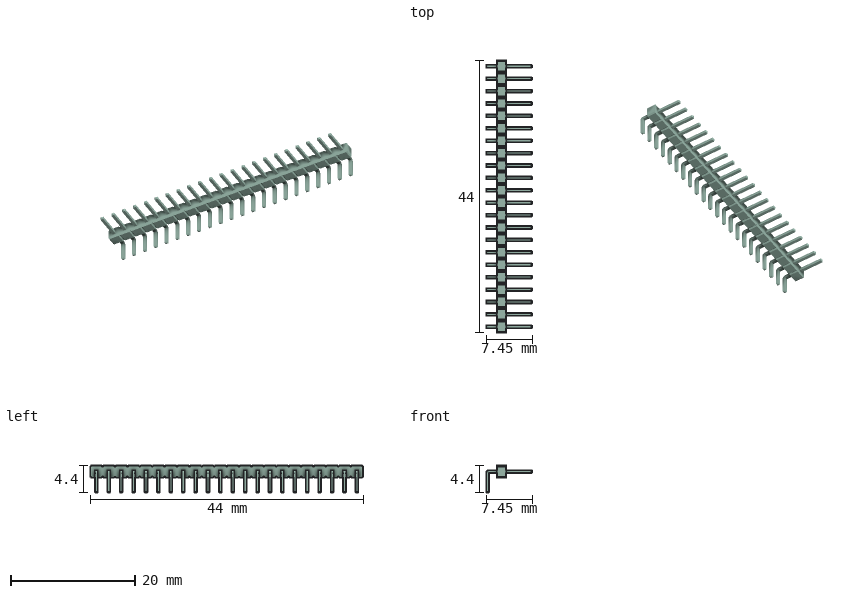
import cadquery as cq

pin_count = 22
pitch = 2.0

housing_depth = 1.5
housing_height = 2.0
housing_bevel = 0.2

pin_width = 0.5
pin_length = 7.45
tail_to_housing = 1.75
tail_drop = 3.4
bend_radius = pin_width
tip_bevel = 0.125

tail_face_x = -pin_width / 2
housing_start_x = tail_face_x + tail_to_housing


def housing_block(y):
    """One housing block, centred at y, with bevels along its four X edges."""
    return (
        cq.Workplane("XY")
        .box(housing_depth, pitch, housing_height, centered=(False, True, True))
        .edges("|X")
        .chamfer(housing_bevel)
        .translate((housing_start_x, y, 0))
    )


def bent_pin(y):
    """One L-shaped pin, centred at y, rounded outside the bend and bevelled at both tips."""
    mating_run = (
        cq.Workplane("XY")
        .box(pin_length, pin_width, pin_width, centered=(False, True, True))
        .faces(">X")
        .chamfer(tip_bevel)
        .translate((tail_face_x, 0, 0))
    )
    tail_height = tail_drop + pin_width / 2
    tail = (
        cq.Workplane("XY")
        .box(pin_width, pin_width, tail_height, centered=(True, True, False))
        .faces("<Z")
        .chamfer(tip_bevel)
        .translate((0, 0, -tail_drop))
    )
    outer_corner = cq.selectors.NearestToPointSelector((tail_face_x, 0, pin_width / 2))
    pin = mating_run.union(tail).edges("|Y").edges(outer_corner).fillet(bend_radius)
    return pin.translate((0, y, 0))


first_pin_y = -(pin_count - 1) * pitch / 2
pin_positions = [first_pin_y + index * pitch for index in range(pin_count)]

result = housing_block(pin_positions[0])
for position in pin_positions[1:]:
    result = result.union(housing_block(position))
for position in pin_positions:
    result = result.union(bent_pin(position))